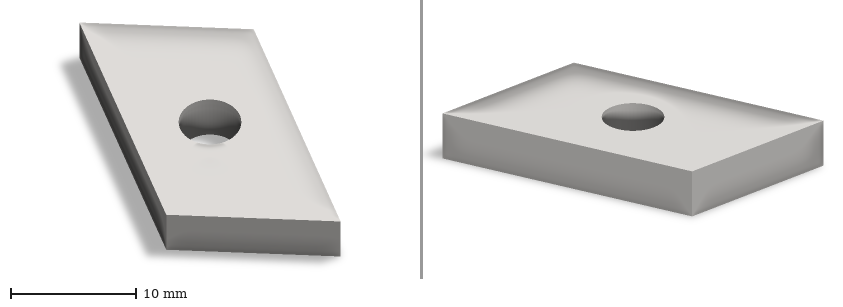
import cadquery as cq

overall_length = 27.5
width = 13.0
thickness = 4.0
end_slant = 5.0
hole_diameter = 5.0

half_length = overall_length / 2
half_width = width / 2


def make_plate():
    """Parallelogram plate centred on the Z axis, resting on Z = 0."""
    corners = [
        (-half_length, -half_width),
        (half_length - end_slant, -half_width),
        (half_length, half_width),
        (-half_length + end_slant, half_width),
    ]
    return cq.Workplane("XY").polyline(corners).close().extrude(thickness)


def make_hole():
    """Cylinder that cuts the central through hole."""
    return cq.Workplane("XY").circle(hole_diameter / 2).extrude(thickness)


result = make_plate().cut(make_hole())